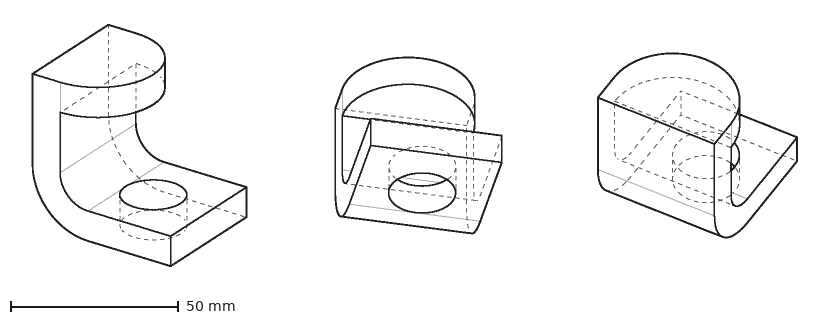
import cadquery as cq

length = 50.0
width = 40.0
height = 50.0
thickness = 10.0
inner_bend_radius = 10.0
hole_diameter = 20.0
hole_x = 30.0

outer_bend_radius = inner_bend_radius + thickness
lip_radius = width / 2


def bent_plate():
    """L-shaped plate with concentric bend radii, centred on Y = 0."""
    wall = cq.Workplane("XY").box(thickness, width, height, centered=(False, True, False))
    base = cq.Workplane("XY").box(length, width, thickness, centered=(False, True, False))
    inner_corner = cq.selectors.NearestToPointSelector((thickness, 0, thickness))
    return (
        wall.union(base)
        .edges(inner_corner).fillet(inner_bend_radius)
        .edges(cq.selectors.NearestToPointSelector((0, 0, 0))).fillet(outer_bend_radius)
    )


def top_lip():
    """Half disc reaching inward from the top of the wall."""
    return (
        cq.Workplane("XY", origin=(thickness, 0, height - thickness))
        .moveTo(0, -lip_radius)
        .threePointArc((lip_radius, 0), (0, lip_radius))
        .close()
        .extrude(thickness)
    )


def base_hole():
    """Cylinder that cuts a through hole in the base."""
    return cq.Workplane("XY").center(hole_x, 0).circle(hole_diameter / 2).extrude(thickness)


result = bent_plate().cut(base_hole()).union(top_lip())